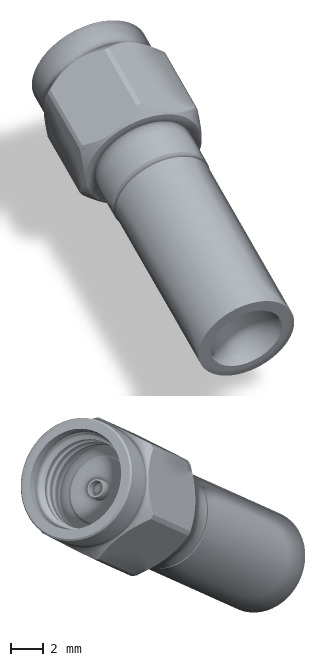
import cadquery as cq
import math


nose_radius = 3.89
nose_chamfer = 0.1
hex_start = 2.0
hex_end = 8.38
hex_across_flats = 7.94
hex_corner_diameter = 8.99
hex_bevel_length = 0.73

collar_radius = 3.3
collar_end = 11.35
collar_chamfer = 0.26

ferrule_radius = 3.23
ferrule_start = 11.43
ferrule_end = 24.13
neck_radius = 2.4
neck_end = 14.0

lead_in_radius = 3.18
lead_in_depth = 0.82
thread_minor_radius = 2.8
thread_pitch = 25.4 / 36
thread_flank_angle = 60
thread_crest_width = thread_pitch / 5
thread_cutter_overlap = 0.05
lead_in_cone = lead_in_radius - thread_minor_radius
socket_depth = 3.36
thread_start = 0.65

boss_radius = 2.25
boss_bevel_width = 0.15
boss_height = 0.1
contact_base_radius = 0.65
contact_tip_radius = 0.58
contact_hole_radius = 0.48
contact_length = 0.6


def turned(profile):
    """Revolve a closed (x, radius) outline about the X axis."""
    return cq.Workplane("XZ").polyline(profile).close().revolve(360, (0, 0, 0), (1, 0, 0))


def cylinder_along_x(start, end, radius):
    """Solid cylinder about the X axis between two X positions."""
    return turned([(start, 0), (start, radius), (end, radius), (end, 0)])


def make_hexagon():
    """Hexagon with corners up and down, its corners rounded and both ends bevelled."""
    hex_length = hex_end - hex_start
    corner_to_corner = hex_across_flats / math.cos(math.radians(30))
    prism = (
        cq.Workplane("YZ", origin=(hex_start, 0, 0))
        .transformed(rotate=(0, 0, 90))
        .polygon(6, corner_to_corner)
        .extrude(hex_length)
    )
    corner_radius = hex_corner_diameter / 2
    envelope = turned([
        (hex_start, 0),
        (hex_start, nose_radius),
        (hex_start + hex_bevel_length, corner_radius),
        (hex_end - hex_bevel_length, corner_radius),
        (hex_end, nose_radius),
        (hex_end, 0),
    ])
    return prism.intersect(envelope)


def make_thread_cutter():
    """Helical V groove that starts at the bottom, runs out through the cone and ends at the socket floor."""
    flank_slope = math.tan(math.radians(thread_flank_angle / 2))
    half_mouth = (thread_pitch - thread_crest_width) / 2 + thread_cutter_overlap * flank_slope
    groove_height = half_mouth / flank_slope
    helix_length = socket_depth + thread_pitch / 2 - thread_start
    helix = cq.Wire.makeHelix(
        thread_pitch,
        helix_length,
        thread_minor_radius - thread_cutter_overlap,
        center=cq.Vector(thread_start, 0, 0),
        dir=cq.Vector(1, 0, 0),
    )
    section_plane = cq.Plane(origin=helix.startPoint().toTuple(), xDir=(1, 0, 0), normal=(0, -1, 0))
    groove = (
        cq.Workplane(section_plane)
        .polyline([(-half_mouth, 0), (half_mouth, 0), (0, groove_height)])
        .close()
        .sweep(cq.Workplane(obj=helix), isFrenet=True)
        .rotate((0, 0, 0), (1, 0, 0), 180)
    )
    return groove.intersect(cylinder_along_x(0, socket_depth, nose_radius))


def make_connector():
    """Nose, hexagon, collar and neck in one piece, with the threaded socket and its contact."""
    nose = cylinder_along_x(0, hex_start, nose_radius).faces("<X").chamfer(nose_chamfer)
    collar = cylinder_along_x(hex_end, collar_end, collar_radius).faces(">X").chamfer(collar_chamfer)
    neck = cylinder_along_x(collar_end, neck_end, neck_radius)
    body = make_hexagon().union(nose).union(collar).union(neck)
    socket = turned([
        (0, 0),
        (0, lead_in_radius),
        (lead_in_depth, lead_in_radius),
        (lead_in_depth + lead_in_cone, thread_minor_radius),
        (socket_depth, thread_minor_radius),
        (socket_depth, 0),
    ])
    boss_face = socket_depth - boss_height
    contact_tip = boss_face - contact_length
    boss = turned([
        (socket_depth, 0),
        (socket_depth, boss_radius),
        (boss_face, boss_radius - boss_bevel_width),
        (boss_face, 0),
    ])
    contact = turned([
        (boss_face, 0),
        (boss_face, contact_base_radius),
        (contact_tip, contact_tip_radius),
        (contact_tip, 0),
    ])
    contact_hole = cylinder_along_x(contact_tip, boss_face, contact_hole_radius)
    body = body.cut(socket).cut(make_thread_cutter())
    return body.union(boss).union(contact).cut(contact_hole)


def make_ferrule():
    """Plain tube over the neck, a hair clear of the collar."""
    tube = cylinder_along_x(ferrule_start, ferrule_end, ferrule_radius)
    return tube.cut(cylinder_along_x(ferrule_start, ferrule_end, neck_radius))


connector = make_connector()
ferrule = make_ferrule()
result = cq.Compound.makeCompound([connector.val(), ferrule.val()])